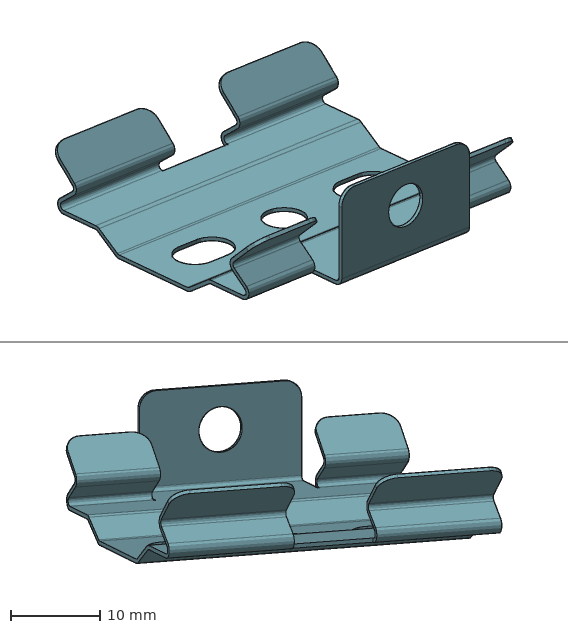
import cadquery as cq
import math

sheet = 0.5
inner_bend = 0.5
mid_bend = inner_bend + sheet / 2
length = 40.0

floor_knee = 5.85
flange_knee = 9.25
flange_edge = 14.65
channel_depth = 2.3
floor_z = sheet / 2
flange_z = floor_z + channel_depth

clip_heel_x = 16.95
clip_waist_x, clip_waist_z = 12.5, 6.0
clip_tip_x, clip_tip_z = 16.95, 10.1
clip_corner = 2.0
left_clip_inner_y = 4.95
right_clip_inner_y = 9.9

tab_face_x = 20.0
tab_top = 14.2
tab_width = 19.5
tab_corner = 2.0
tab_hole_z = 9.2

hole_diameter = 5.2
slot_length = 7.8
slot_offset = 12.3


def toward(start, end, distance):
    """Point at a distance from start in the direction of end."""
    share = distance / math.dist(start, end)
    return (start[0] + share * (end[0] - start[0]), start[1] + share * (end[1] - start[1]))


def side_of(start, end, point, offset):
    """Point moved by offset to the left of the direction from start to end."""
    span = math.dist(start, end)
    return (
        point[0] - offset * (end[1] - start[1]) / span,
        point[1] + offset * (end[0] - start[0]) / span,
    )


def bend_arc(before, corner, after, offset):
    """Start, middle and end of the bend at a corner, on one side of the middle line."""
    angle_in = math.atan2(corner[1] - before[1], corner[0] - before[0])
    angle_out = math.atan2(after[1] - corner[1], after[0] - corner[0])
    turn = math.remainder(angle_out - angle_in, 2 * math.pi)
    tangent_length = mid_bend * math.tan(abs(turn) / 2)
    left_radius = math.copysign(mid_bend, turn)
    tangent_point = toward(corner, before, tangent_length)
    center = side_of(before, corner, tangent_point, left_radius)
    radius = left_radius - offset

    def on_arc(angle):
        return (center[0] + radius * math.sin(angle), center[1] - radius * math.cos(angle))

    return on_arc(angle_in), on_arc(angle_in + turn / 2), on_arc(angle_out)


def bent_strip(corners, y_min, y_max):
    """Sheet bent along a middle line in XZ, running from y_min to y_max."""
    half = sheet / 2
    bends = list(zip(corners, corners[1:], corners[2:]))
    first, second = corners[:2]
    before_last, last = corners[-2:]
    outline = cq.Workplane("XZ", origin=(0, y_max, 0)).moveTo(*side_of(first, second, first, half))
    for bend in bends:
        start, middle, end = bend_arc(*bend, half)
        outline = outline.lineTo(*start).threePointArc(middle, end)
    outline = outline.lineTo(*side_of(before_last, last, last, half))
    outline = outline.lineTo(*side_of(before_last, last, last, -half))
    for bend in reversed(bends):
        start, middle, end = bend_arc(*bend, -half)
        outline = outline.lineTo(*end).threePointArc(middle, start)
    outline = outline.lineTo(*side_of(first, second, first, -half))
    return outline.close().extrude(y_max - y_min)


def make_base():
    right_half = [(floor_knee, floor_z), (flange_knee, flange_z), (flange_edge, flange_z)]
    left_half = [(-x, z) for x, z in reversed(right_half)]
    base = bent_strip(left_half + right_half, -length / 2, length / 2)
    slots = (
        cq.Workplane("XY")
        .pushPoints([(0, -slot_offset), (0, slot_offset)])
        .slot2D(slot_length, hole_diameter, 90)
        .extrude(flange_z)
    )
    center_hole = cq.Workplane("XY").circle(hole_diameter / 2).extrude(flange_z)
    return base.cut(slots).cut(center_hole)


def make_clip(side, inner_y):
    """Clip on the +Y half; side is 1 for +X and -1 for -X."""
    corners = [
        (side * flange_edge, flange_z),
        (side * clip_heel_x, flange_z),
        (side * clip_waist_x, clip_waist_z),
        (side * clip_tip_x, clip_tip_z),
    ]
    clip = bent_strip(corners, inner_y, length / 2)
    for y in (inner_y, length / 2):
        tip = (side * clip_tip_x, y, clip_tip_z)
        clip = clip.edges(cq.selectors.NearestToPointSelector(tip)).fillet(clip_corner)
    return clip


def make_tab():
    tab_mid_x = tab_face_x - sheet / 2
    corners = [(flange_edge, flange_z), (tab_mid_x, flange_z), (tab_mid_x, tab_top)]
    tab = bent_strip(corners, -tab_width / 2, tab_width / 2)
    tab = tab.faces(">Z").edges("|X").fillet(tab_corner)
    hole = (
        cq.Workplane("YZ", origin=(flange_edge, 0, 0))
        .center(0, tab_hole_z)
        .circle(hole_diameter / 2)
        .extrude(tab_face_x - flange_edge)
    )
    return tab.cut(hole)


result = make_base().union(make_tab())
for side, inner_y in ((-1, left_clip_inner_y), (1, right_clip_inner_y)):
    clip = make_clip(side, inner_y)
    result = result.union(clip).union(clip.mirror("XZ"))
result = result.clean()